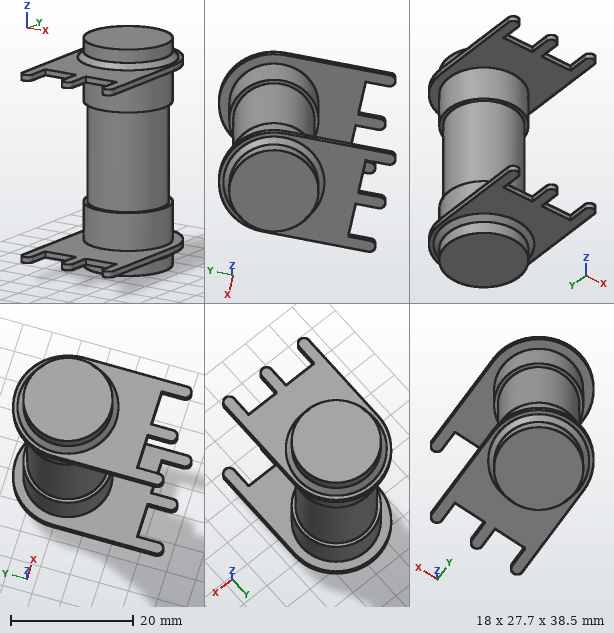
import cadquery as cq

total_height = 38.5
tube_diameter = 13.35
cap_diameter = 14.63
cap_length = 10.7

collar_diameter = 16.55
collar_height = 1.0

plate_width = 18.0
plate_length = 27.7
plate_thickness = 1.0
plate_outer_offset = 3.27
finger_width = 2.0
finger_length = 4.75

half_height = total_height / 2
plate_radius = plate_width / 2
finger_tip_y = plate_radius - plate_length
finger_root_y = finger_tip_y + finger_length
finger_radius = finger_width / 2
plate_top_z = half_height - plate_outer_offset
plate_bottom_z = plate_top_z - plate_thickness
outer_finger_x = plate_radius - finger_radius


def cylinder(diameter, bottom_z, height):
    return cq.Workplane("XY").workplane(offset=bottom_z).circle(diameter / 2).extrude(height)


def make_finger(x):
    tip_center_y = finger_tip_y + finger_radius
    return (
        cq.Workplane("XY")
        .workplane(offset=plate_bottom_z)
        .moveTo(x - finger_radius, finger_root_y)
        .lineTo(x - finger_radius, tip_center_y)
        .threePointArc((x, finger_tip_y), (x + finger_radius, tip_center_y))
        .lineTo(x + finger_radius, finger_root_y)
        .close()
        .extrude(plate_thickness)
    )


def make_plate():
    plate = (
        cq.Workplane("XY")
        .workplane(offset=plate_bottom_z)
        .moveTo(-plate_radius, finger_root_y)
        .lineTo(-plate_radius, 0)
        .threePointArc((0, plate_radius), (plate_radius, 0))
        .lineTo(plate_radius, finger_root_y)
        .close()
        .extrude(plate_thickness)
    )
    for x in (-outer_finger_x, 0, outer_finger_x):
        plate = plate.union(make_finger(x))
    return plate


def make_collar():
    return (
        cq.Workplane("XY")
        .workplane(offset=plate_top_z)
        .circle(collar_diameter / 2)
        .workplane(offset=collar_height)
        .circle(cap_diameter / 2)
        .loft(ruled=True)
    )


cap = cylinder(cap_diameter, half_height - cap_length, cap_length)
upper_end = cap.union(make_plate()).union(make_collar())
lower_end = upper_end.mirror("XY")

tube = cylinder(tube_diameter, -half_height, total_height)
result = tube.union(upper_end).union(lower_end)